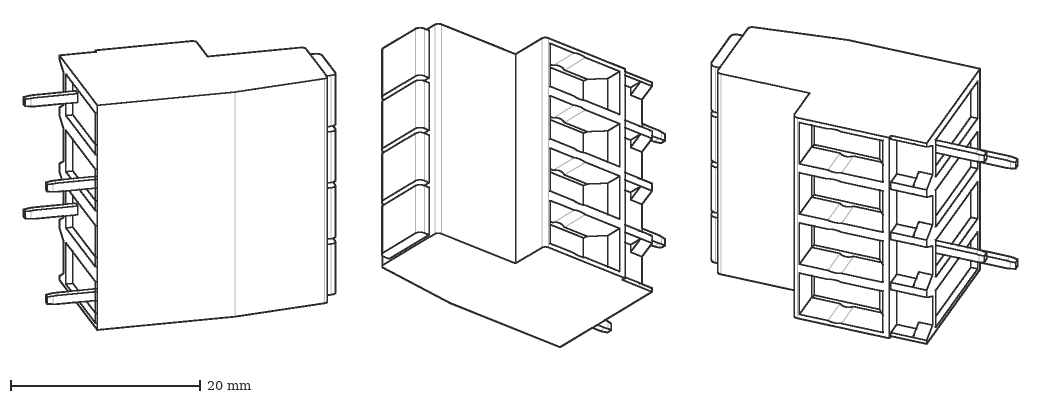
import cadquery as cq

depth = 15.85
pole_count = 4
row_length = 25.4
pitch = row_length / pole_count
overall_length = 32.0

pin_length = 5.0
screw_projection = 1.35
body_top = overall_length - pin_length - screw_projection
shoulder_y = 15.05
neck_x = 4.85
taper_top_x = 14.4
foot_setback = 0.45
foot_height = 4.05
corner_radius = 0.5

block_width = 6.65
block_center_x = 9.63
block_height = 5.75
block_radius = 0.67

opening_height = 5.2
opening_y_min = 4.8
opening_y_max = 14.27
opening_slope_rise = 1.85
opening_slope_start = 2.0
opening_depth = 3.78
back_chamfer_length = 0.3
back_chamfer_y = 0.2
back_chamfer_z = 0.15
bore_diameter = 5.45
bore_y = 10.3

notch_height = 5.45
notch_depth_x = 2.15
wedge_height = 0.9
wedge_length = 1.57

recess_x_min = 3.1
recess_x_max = 15.1
recess_height = 4.67
recess_offset = 0.5
recess_depth = 0.77

pin_width = 0.85
pin_height = 1.0
pin_row_count = 2
pin_x_left = 4.75
pin_x_right = 13.7
tip_width = 0.67
tip_height = 0.8
tip_taper_x = 0.58
tip_taper_z = 1.0


def make_housing():
    """Stepped profile extruded along the row, with rounded outer corners."""
    profile = [
        (foot_setback, 0),
        (depth, 0),
        (depth, shoulder_y),
        (taper_top_x, body_top),
        (neck_x, body_top),
        (neck_x, shoulder_y),
        (0, shoulder_y),
        (0, foot_height),
        (foot_setback, foot_height),
    ]
    body = cq.Workplane("XY").polyline(profile).close().extrude(row_length)
    middle = row_length / 2
    for x, y in [(0, shoulder_y), (neck_x, body_top), (taper_top_x, body_top)]:
        corner = cq.selectors.NearestToPointSelector((x, y, middle))
        body = body.edges(corner).fillet(corner_radius)
    return body


def make_screw_block(center_z):
    """Rounded block standing on the screw side, sunk into the housing by its corner radius."""
    length = screw_projection + block_radius
    block = (
        cq.Workplane("XY")
        .box(block_width, length, block_height, centered=(True, False, True))
        .edges("|Z and >Y")
        .fillet(block_radius)
    )
    return block.translate((block_center_x, body_top - block_radius, center_z))


def make_wire_opening(center_z):
    """Opening with one wall sloped at its back, a bore through its side walls and a chamfered back."""
    chamfer_x = opening_depth - back_chamfer_length
    plan = [
        (0, opening_y_min),
        (opening_slope_start, opening_y_min),
        (opening_depth, opening_y_min + opening_slope_rise),
        (opening_depth, opening_y_max - back_chamfer_y),
        (chamfer_x, opening_y_max),
        (0, opening_y_max),
    ]
    half = opening_height / 2
    opening = cq.Workplane("XY").workplane(offset=-half).polyline(plan).close().extrude(opening_height)
    bore = cq.Workplane("YZ").center(bore_y, 0).circle(bore_diameter / 2).extrude(opening_depth)

    back_half = half - back_chamfer_z
    front_half = back_half + opening_depth * back_chamfer_z / back_chamfer_length
    envelope = (
        cq.Workplane("XZ")
        .polyline([
            (0, -front_half),
            (opening_depth, -back_half),
            (opening_depth, back_half),
            (0, front_half),
        ])
        .close()
        .extrude(-shoulder_y)
    )
    return opening.union(bore).intersect(envelope).translate((0, 0, center_z))


def make_notch(center_z):
    """Foot notch: rectangular in its upper part, narrowed to a trapezoid between the wedges."""
    half = notch_height / 2
    mouth = [(0, -half), (foot_setback, -half)]
    rectangle = mouth + [(notch_depth_x, -half), (notch_depth_x, half), (0, half)]
    floor_half = half - wedge_height
    trapezoid = mouth + [
        (notch_depth_x, -floor_half),
        (notch_depth_x, floor_half),
        (foot_setback, half),
        (0, half),
    ]
    upper = (
        cq.Workplane("XZ", origin=(0, wedge_length, 0))
        .polyline(rectangle)
        .close()
        .extrude(wedge_length - foot_height)
    )
    lower = cq.Workplane("XZ").polyline(trapezoid).close().extrude(-wedge_length)
    return upper.union(lower).translate((0, 0, center_z))


def make_recess(base_z):
    """Rectangular recess in the pin-side face."""
    return (
        cq.Workplane("XY")
        .box(recess_x_max - recess_x_min, recess_depth, recess_height, centered=False)
        .translate((recess_x_min, 0, base_z + recess_offset))
    )


def make_tapered_bar(plane, width, tip, taper_length, thickness):
    """Symmetric bar profile tapering to its tip, extruded to both sides of the plane."""
    profile = [
        (-width / 2, recess_depth),
        (-width / 2, taper_length - pin_length),
        (-tip / 2, -pin_length),
        (tip / 2, -pin_length),
        (width / 2, taper_length - pin_length),
        (width / 2, recess_depth),
    ]
    return cq.Workplane(plane).polyline(profile).close().extrude(thickness / 2, both=True)


def make_pin(center_x, center_z):
    """Rectangular pin rooted in the recess floor and tapered on all four sides."""
    side_taper = make_tapered_bar("XY", pin_width, tip_width, tip_taper_x, pin_height)
    height_taper = make_tapered_bar("ZY", pin_height, tip_height, tip_taper_z, pin_width)
    return side_taper.intersect(height_taper).translate((center_x, 0, center_z))


result = make_housing()
for pole in range(pole_count):
    pole_base = pole * pitch
    pole_center = pole_base + pitch / 2
    result = result.cut(make_wire_opening(pole_center))
    result = result.cut(make_notch(pole_center))
    result = result.cut(make_recess(pole_base))
    result = result.union(make_screw_block(pole_center))
    pin_x = pin_x_right if pole % pin_row_count == 0 else pin_x_left
    result = result.union(make_pin(pin_x, pole_center))